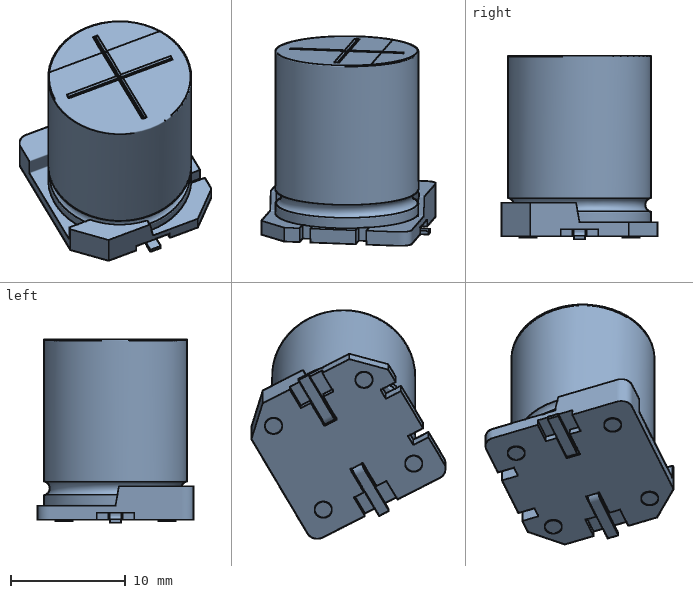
import cadquery as cq
import math

total_height = 16.0
base_bottom = 0.25
seat_height = 1.5
base_top = 3.2

base_width = 13.6
half_base = base_width / 2
base_corner_radius = 1.0
base_corner_chamfer = 2.5
wall_lean = 10.0
wall_edge_radius = 0.1
pocket_width = 8.06
bore_clearance = 0.05
tab_width = 4.0
notch_width = 0.96
notch_depth = 1.5
foot_diameter = 1.5
foot_height = 0.1
foot_offset = 4.5

lead_tip = 14.6 / 2
lead_width = 1.0
lead_thickness = 0.32
lead_bend_radius = 0.34
lead_inner_face = 2.34
recess_width = 3.23
recess_depth = 2.0
recess_top = 0.86
lead_slot_width = 1.25

can_radius = 12.5 / 2
can_edge_radius = 0.1
groove_bottom = 2.43
groove_top = 3.58
groove_root_radius = 5.75

vent_length = 10.0
vent_width = 0.45
vent_shoulder_width = 0.22
vent_shoulder_depth = 0.06
vent_floor_width = 0.08
vent_depth = 0.13

mark_chord_x = -3.1
mark_thickness = vent_depth


def make_block(x_size, y_size, z_low, z_high):
    """Box centred on the Z axis between two heights."""
    return cq.Workplane("XY").workplane(offset=z_low).rect(x_size, y_size).extrude(z_high - z_low)


def make_wall_step_cutter():
    """Space behind the raised wall, with the wall's leaning face and rounded foot."""
    lean_run = (base_top - seat_height) * math.tan(math.radians(wall_lean))
    return (
        cq.Workplane("YZ")
        .moveTo(0, seat_height)
        .lineTo(base_width, seat_height)
        .lineTo(base_width, base_top)
        .lineTo(-lean_run, base_top)
        .close()
        .extrude(half_base, both=True)
        .edges(cq.selectors.NearestToPointSelector((0, 0, seat_height)))
        .fillet(wall_edge_radius)
    )


def make_front_pocket_cutter():
    """Opening in the middle of the raised wall, rounded along its floor corners."""
    return (
        make_block(pocket_width, base_width, seat_height, base_top)
        .edges("|Y and <Z")
        .fillet(wall_edge_radius)
        .translate((0, -half_base, 0))
    )


def make_lead_profile():
    """Side profile of the lead at +X, in the XZ plane."""
    outer_radius = lead_bend_radius + lead_thickness
    bend_x = lead_inner_face + outer_radius
    bend_z = outer_radius
    diagonal = math.sqrt(0.5)
    return (
        cq.Workplane("XZ")
        .moveTo(lead_tip, 0)
        .lineTo(bend_x, 0)
        .threePointArc(
            (bend_x - outer_radius * diagonal, bend_z - outer_radius * diagonal),
            (lead_inner_face, bend_z),
        )
        .lineTo(lead_inner_face, seat_height)
        .lineTo(lead_inner_face + lead_thickness, seat_height)
        .lineTo(lead_inner_face + lead_thickness, bend_z)
        .threePointArc(
            (bend_x - lead_bend_radius * diagonal, bend_z - lead_bend_radius * diagonal),
            (bend_x, lead_thickness),
        )
        .lineTo(lead_tip, lead_thickness)
        .close()
    )


def make_lead(angle):
    """L-shaped lead, turned about Z to its side of the base."""
    return make_lead_profile().extrude(lead_width / 2, both=True).rotate((0, 0, 0), (0, 0, 1), angle)


def make_lead_cavity(angle):
    """Recess, slot and upright hole that one lead occupies in the base."""
    slot_length = half_base - lead_inner_face
    recess = make_block(recess_depth, recess_width, base_bottom, recess_top)
    recess = recess.translate((half_base - recess_depth / 2, 0, 0))
    slot = make_block(slot_length, lead_slot_width, base_bottom, recess_top)
    slot = slot.translate((half_base - slot_length / 2, 0, 0))
    upright_hole = make_block(lead_thickness, lead_width, base_bottom, seat_height)
    upright_hole = upright_hole.translate((lead_inner_face + lead_thickness / 2, 0, 0))
    return recess.union(slot).union(upright_hole).rotate((0, 0, 0), (0, 0, 1), angle)


def make_base():
    base = make_block(base_width, base_width, base_bottom, base_top)
    base = base.edges("|Z and <X").fillet(base_corner_radius)
    base = base.edges("|Z and >X").chamfer(base_corner_chamfer)

    base = base.cut(make_wall_step_cutter())
    base = base.cut(make_front_pocket_cutter())
    inner_edges = cq.selectors.BoxSelector(
        (-can_radius, -can_radius, seat_height), (can_radius, can_radius, total_height)
    )
    base = base.faces(">Z").edges("|X or |Y").edges(inner_edges).fillet(wall_edge_radius)

    bore = cq.Workplane("XY").workplane(offset=seat_height).circle(can_radius + bore_clearance)
    base = base.cut(bore.extrude(base_top - seat_height))

    for side in (-1, 1):
        notch = make_block(notch_width, notch_depth, base_bottom, seat_height)
        notch_x = side * (tab_width + notch_width) / 2
        base = base.cut(notch.translate((notch_x, half_base - notch_depth / 2, 0)))

    for angle in lead_angles:
        base = base.cut(make_lead_cavity(angle))

    feet = (
        cq.Workplane("XY")
        .workplane(offset=base_bottom - foot_height)
        .rect(2 * foot_offset, 2 * foot_offset, forConstruction=True)
        .vertices()
        .circle(foot_diameter / 2)
        .extrude(foot_height)
    )
    return base.union(feet)


def make_vent_cutter():
    """Two crossed grooves whose flanks are shallow at the top and steep below."""
    shoulder_z = total_height - vent_shoulder_depth
    floor_z = total_height - vent_depth
    groove = (
        cq.Workplane("YZ")
        .moveTo(0, total_height)
        .lineTo(vent_width / 2, total_height)
        .lineTo(vent_shoulder_width / 2, shoulder_z)
        .lineTo(vent_floor_width / 2, floor_z)
        .lineTo(0, floor_z)
        .mirrorY()
        .extrude(vent_length / 2, both=True)
    )
    return groove.union(groove.rotate((0, 0, 0), (0, 0, 1), 90))


def make_mark_blank():
    """Circular segment of the can's flat top, before the vent is cut."""
    flat_radius = can_radius - can_edge_radius
    disc = (
        cq.Workplane("XY")
        .workplane(offset=total_height - mark_thickness)
        .circle(flat_radius)
        .extrude(mark_thickness)
    )
    mark_side = make_block(can_radius, 2 * can_radius, total_height - mark_thickness, total_height)
    return disc.intersect(mark_side.translate((mark_chord_x - can_radius / 2, 0, 0)))


def make_can():
    rim_center_radius = can_radius - can_edge_radius
    rim_middle_radius = rim_center_radius + can_edge_radius * math.sqrt(0.5)
    rim_middle_drop = can_edge_radius * (1 - math.sqrt(0.5))
    groove_middle = (groove_bottom + groove_top) / 2

    def round_inward(profile, z):
        """Quarter round from the can's side up to the level z."""
        return profile.threePointArc((rim_middle_radius, z - rim_middle_drop), (rim_center_radius, z))

    def round_outward(profile, z):
        """Quarter round from the level z up to the can's side."""
        return profile.threePointArc(
            (rim_middle_radius, z + rim_middle_drop), (can_radius, z + can_edge_radius)
        )

    profile = cq.Workplane("XZ").moveTo(0, seat_height).lineTo(rim_center_radius, seat_height)
    profile = round_outward(profile, seat_height)
    profile = profile.lineTo(can_radius, groove_bottom - can_edge_radius)
    profile = round_inward(profile, groove_bottom)
    profile = profile.threePointArc((groove_root_radius, groove_middle), (rim_center_radius, groove_top))
    profile = round_outward(profile, groove_top)
    profile = profile.lineTo(can_radius, total_height - can_edge_radius)
    profile = round_inward(profile, total_height)
    can = profile.lineTo(0, total_height).close().revolve(360, (0, 0, 0), (0, 1, 0))
    return can.cut(make_vent_cutter()).cut(make_mark_blank())


def make_mark():
    return make_mark_blank().cut(make_vent_cutter())


lead_angles = (0, 180)

base = make_base()
can = make_can()
mark = make_mark()
leads = [make_lead(angle) for angle in lead_angles]

result = cq.Compound.makeCompound([base.val(), can.val(), mark.val(), *[lead.val() for lead in leads]])